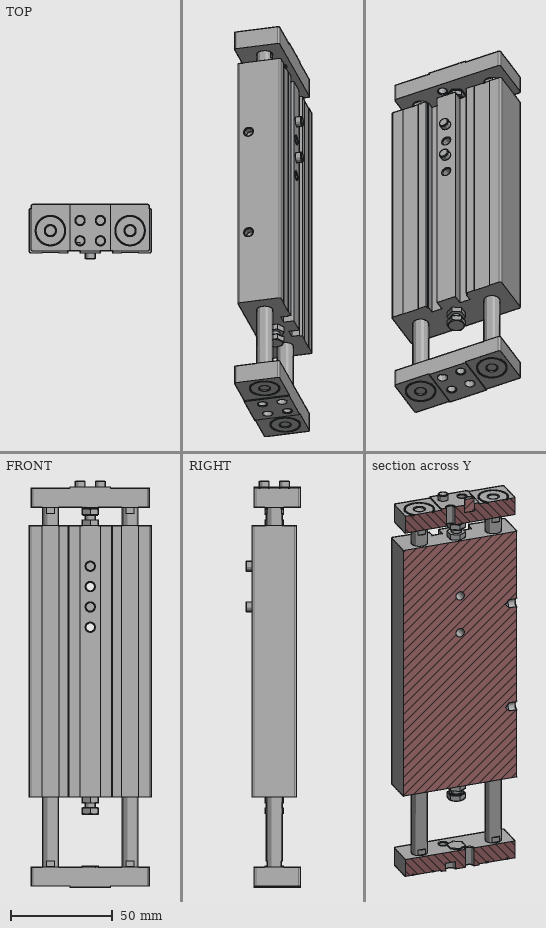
import cadquery as cq
import math


housing_width = 60.0
housing_depth = 22.0
housing_height = 133.2
corner_radius = 1.0
slot_inner_x = 5.0
slot_outer_x = 10.4
slot_depth = 5.2
slot_step_width = 0.5
slot_step_depth = 1.4
groove_width = 8.4
groove_depth = 0.2

plate_width = 58.0
plate_front_y = -10.0
plate_back_y = 13.0
plate_thickness = 10.0
pad_width = 20.0
pad_height = 0.5
lower_gap = 34.3
upper_gap = 9.0
rod_diameter = 8.0
rod_x = 19.5
flat_width = 4.0
flat_height = 2.8
flat_offset = 0.2
ring_outer_diameter = 15.0
ring_inner_diameter = 14.0
ring_depth = 0.5
dimple_diameter = 6.0
dimple_floor_diameter = 5.0
dimple_depth = 0.4
anvil_height = 0.5

hex_across_flats = 8.0
hex_across_corners = hex_across_flats / math.cos(math.radians(30))
nut_height = 2.8
screw_head_height = 3.0
head_face_diameter = 7.5
washer_face_diameter = 7.0
washer_face_height = 0.4
screw_diameter = 5.0
screw_insertion = 10.0

pin_diameter = 5.0
pin_chamfer = 0.4
pin_insertion = 4.0
pin_projection = 3.0
hole_spacing = 10.0
thread_diameter = 4.2
thread_chamfer = (pin_diameter - thread_diameter) / 2
first_pin_drop = 20.0
front_hole_count = 4

port_heights = (38.7, 94.5)
port_y = 5.4
port_depth = 4.0

plate_top_z = plate_thickness
housing_bottom_z = plate_top_z + lower_gap
housing_top_z = housing_bottom_z + housing_height
upper_plate_z = housing_top_z + upper_gap
yoke_top_z = upper_plate_z + plate_thickness
yoke_middle_z = yoke_top_z / 2
housing_middle_z = (housing_bottom_z + housing_top_z) / 2
housing_front_y = -housing_depth / 2
front_hole_z = [housing_top_z - first_pin_drop - i * hole_spacing for i in range(front_hole_count)]
pin_hole_z = front_hole_z[0::2]
through_hole_z = front_hole_z[1::2]
plate_pin_points = [(-hole_spacing / 2, hole_spacing / 2), (hole_spacing / 2, -hole_spacing / 2)]
plate_thread_points = [(x, -y) for x, y in plate_pin_points]


def cylinder(diameter, length, start, direction=(0, 0, 1)):
    return cq.Workplane(cq.Solid.makeCylinder(diameter / 2, length, cq.Vector(*start), cq.Vector(*direction)))


def cone(start_diameter, end_diameter, length, start, direction):
    solid = cq.Solid.makeCone(
        start_diameter / 2, end_diameter / 2, length, cq.Vector(*start), cq.Vector(*direction)
    )
    return cq.Workplane(solid)


def hexagon(bottom_z, height):
    """Hexagonal prism on the Z axis with two corners pointing along Y."""
    prism = cq.Workplane("XY").polygon(6, hex_across_corners).extrude(height)
    return prism.rotate((0, 0, 0), (0, 0, 1), 30).translate((0, 0, bottom_z))


def turned_over(body, level):
    """Copy of a body turned half a turn about the line along Y through X = 0 at the given Z level."""
    return body.rotate((0, 0, level), (0, 1, level), 180)


def slot_cutter(side):
    """Lengthwise slot beside the centre land, stepped wider at the mouth along its outer edge."""
    floor_y = housing_front_y + slot_depth
    outline = [
        (side * slot_inner_x, housing_front_y),
        (side * slot_inner_x, floor_y),
        (side * slot_outer_x, floor_y),
        (side * slot_outer_x, housing_front_y + slot_step_depth),
        (side * (slot_outer_x + slot_step_width), housing_front_y + slot_step_depth),
        (side * (slot_outer_x + slot_step_width), housing_front_y),
    ]
    return cq.Workplane("XY", origin=(0, 0, housing_bottom_z)).polyline(outline).close().extrude(housing_height)


def groove_cutter(side):
    """Shallow lengthwise groove in front of a guide rod."""
    groove = cq.Workplane("XY").box(groove_width, 2 * groove_depth, housing_height, centered=(True, True, False))
    return groove.translate((side * rod_x, housing_front_y, housing_bottom_z))


def port_cutter(height):
    """Blind threaded port with a bevelled mouth and a drill point."""
    mouth_x = -housing_width / 2
    inward = (1, 0, 0)
    z = housing_bottom_z + height
    mouth = cone(pin_diameter, thread_diameter, thread_chamfer, (mouth_x, port_y, z), inward)
    bore = cylinder(thread_diameter, port_depth, (mouth_x, port_y, z), inward)
    tip_start = (mouth_x + port_depth, port_y, z)
    tip = cone(thread_diameter, 0, thread_diameter / 2, tip_start, inward)
    return mouth.union(bore).union(tip)


def make_housing():
    """Grooved block with bores for the rods, screws and pins, two through holes and two ports."""
    body = (
        cq.Workplane("XY", origin=(0, 0, housing_bottom_z))
        .rect(housing_width, housing_depth)
        .extrude(housing_height)
        .edges("|Z")
        .fillet(corner_radius)
    )
    for side in (-1, 1):
        body = body.cut(slot_cutter(side)).cut(groove_cutter(side))
        body = body.cut(cylinder(rod_diameter, housing_height, (side * rod_x, 0, housing_bottom_z)))
    for z in pin_hole_z:
        body = body.cut(cylinder(pin_diameter, pin_insertion, (0, housing_front_y, z), (0, 1, 0)))
    for z in through_hole_z:
        body = body.cut(cylinder(thread_diameter, housing_depth, (0, housing_front_y, z), (0, 1, 0)))
        for end in (-1, 1):
            mouth = (0, end * housing_depth / 2, z)
            body = body.cut(cone(pin_diameter, thread_diameter, thread_chamfer, mouth, (0, -end, 0)))
    for height in port_heights:
        body = body.cut(port_cutter(height))
    body = body.cut(cylinder(screw_diameter, screw_insertion, (0, 0, housing_top_z), (0, 0, -1)))
    return body.cut(cylinder(screw_diameter, screw_insertion, (0, 0, housing_bottom_z)))


def make_upper_plate():
    """End plate with a raised pad, ring grooves over the rods, a hole pattern and a hexagonal anvil below."""
    depth = plate_back_y - plate_front_y
    center_y = (plate_back_y + plate_front_y) / 2
    base = cq.Workplane("XY", origin=(0, center_y, upper_plate_z))
    plate = base.rect(plate_width, depth).extrude(plate_thickness - pad_height).edges("|Z").fillet(corner_radius)
    plate = plate.union(base.rect(pad_width, depth).extrude(plate_thickness))
    plate = plate.union(hexagon(upper_plate_z - anvil_height, anvil_height))
    face_z = yoke_top_z - pad_height
    down = (0, 0, -1)
    for side in (-1, 1):
        over_rod = (side * rod_x, 0, face_z)
        core = cylinder(ring_inner_diameter, ring_depth, over_rod, down)
        plate = plate.cut(cylinder(ring_outer_diameter, ring_depth, over_rod, down).cut(core))
        plate = plate.cut(cone(dimple_diameter, dimple_floor_diameter, dimple_depth, over_rod, down))
    for x, y in plate_pin_points:
        plate = plate.cut(cylinder(pin_diameter, pin_insertion, (x, y, yoke_top_z), down))
    for x, y in plate_thread_points:
        plate = plate.cut(cylinder(thread_diameter, plate_thickness, (x, y, yoke_top_z), down))
        for z, direction in ((yoke_top_z, down), (upper_plate_z, (0, 0, 1))):
            plate = plate.cut(cone(pin_diameter, thread_diameter, thread_chamfer, (x, y, z), direction))
    return plate


def make_rod(side):
    """Guide rod between the plates with a small wrench flat at the front and back of each end."""
    rod = cylinder(rod_diameter, upper_plate_z - plate_top_z, (side * rod_x, 0, plate_top_z))
    half_chord = math.sqrt((rod_diameter / 2) ** 2 - (flat_width / 2) ** 2)
    for end in (-1, 1):
        for z in (plate_top_z + flat_offset, upper_plate_z - flat_offset - flat_height):
            y = end * (half_chord + rod_diameter / 2)
            cutter = cq.Workplane("XY").box(rod_diameter, rod_diameter, flat_height, centered=(True, True, False))
            rod = rod.cut(cutter.translate((side * rod_x, y, z)))
    return rod


def make_yoke():
    """Both end plates and both guide rods as one moving frame."""
    upper_plate = make_upper_plate()
    yoke = upper_plate
    for side in (-1, 1):
        yoke = yoke.union(make_rod(side))
    return yoke.union(turned_over(upper_plate, yoke_middle_z))


def make_upper_lock_nut():
    nut = hexagon(housing_top_z, nut_height)
    return nut.cut(cylinder(screw_diameter, nut_height, (0, 0, housing_top_z)))


def corner_bevel(head_top_z):
    """Cone at 30 degrees to the head face that trims the corners of the hexagon."""
    base_diameter = head_face_diameter + 2 * screw_head_height / math.tan(math.radians(30))
    return cone(head_face_diameter, base_diameter, screw_head_height, (0, 0, head_top_z), (0, 0, -1))


def make_upper_stop_screw():
    """Hexagon screw with a washer face, its head resting against the upper anvil."""
    head_top_z = upper_plate_z - anvil_height
    shank_bottom_z = housing_top_z - screw_insertion
    head_bottom_z = head_top_z - screw_head_height
    washer_face_z = head_bottom_z - washer_face_height
    head = hexagon(head_bottom_z, screw_head_height).intersect(corner_bevel(head_top_z))
    washer_face = cylinder(washer_face_diameter, washer_face_height, (0, 0, washer_face_z))
    shank = cylinder(screw_diameter, head_bottom_z - shank_bottom_z, (0, 0, shank_bottom_z))
    return head.union(washer_face).union(shank)


def make_pin(surface_point, outward):
    """Locating pin seated in its hole, with a bevelled outer end."""
    start = cq.Vector(*surface_point) - cq.Vector(*outward) * pin_insertion
    pin = cylinder(pin_diameter, pin_insertion + pin_projection, start.toTuple(), outward)
    outer_end = max(pin.faces("%PLANE").vals(), key=lambda face: face.Center().dot(cq.Vector(*outward)))
    return pin.newObject([outer_end]).edges().chamfer(pin_chamfer)


housing = make_housing()
yoke = make_yoke()
lock_nut = make_upper_lock_nut()
stop_screw = make_upper_stop_screw()
lock_nuts = [lock_nut, turned_over(lock_nut, housing_middle_z)]
stop_screws = [stop_screw, turned_over(stop_screw, housing_middle_z)]
plate_pins = [make_pin((x, y, yoke_top_z), (0, 0, 1)) for x, y in plate_pin_points]
housing_pins = [make_pin((0, housing_front_y, z), (0, -1, 0)) for z in pin_hole_z]

bodies = [housing, yoke, *lock_nuts, *stop_screws, *plate_pins, *housing_pins]
result = cq.Compound.makeCompound([body.val() for body in bodies])